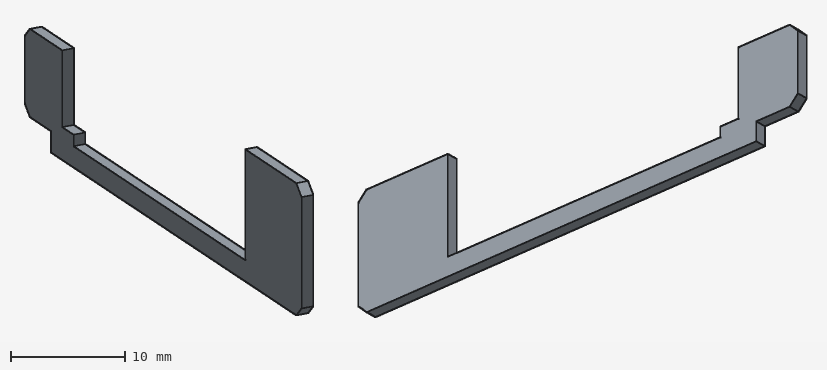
import cadquery as cq

length = 51.4
thickness = 1.2
height = 12.4

bar_height = 2.0
left_plate_width = 7.0
left_plate_top = 10.3
right_plate_width = 10.5
corner_chamfer = 1.0

notch_width = 4.9
step_length = 2.1
step_top = 3.1

right_plate_start = length - right_plate_width
step_end = left_plate_width + step_length

outline = [
    (notch_width, 0),
    (length - corner_chamfer, 0),
    (length, corner_chamfer),
    (length, height - corner_chamfer),
    (length - corner_chamfer, height),
    (right_plate_start, height),
    (right_plate_start, bar_height),
    (step_end, bar_height),
    (step_end, step_top),
    (left_plate_width, step_top),
    (left_plate_width, left_plate_top),
    (corner_chamfer, left_plate_top),
    (0, left_plate_top - corner_chamfer),
    (0, bar_height + corner_chamfer),
    (corner_chamfer, bar_height),
    (notch_width, bar_height),
]

result = cq.Workplane("XZ").polyline(outline).close().extrude(-thickness)